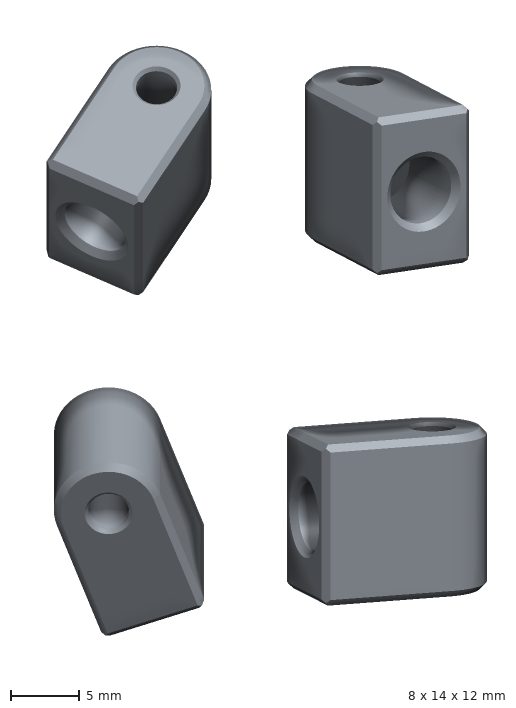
import cadquery as cq

length = 14.0
width = 8.0
height = 12.0
edge_chamfer = 0.5

cross_hole_diameter = 3.0
cross_hole_chamfer = 0.25

socket_diameter = 5.04
socket_depth = 7.0
socket_chamfer = 0.5

end_radius = width / 2
front_y = end_radius - length


def make_body():
    """Block with one rounded end and every outer edge chamfered."""
    block = (
        cq.Workplane("XY")
        .moveTo(-end_radius, front_y)
        .lineTo(end_radius, front_y)
        .lineTo(end_radius, 0)
        .threePointArc((0, end_radius), (-end_radius, 0))
        .close()
        .extrude(height / 2, both=True)
    )
    outline_chamfered = block.faces("|Z").edges("not(<Y)").chamfer(edge_chamfer)
    front_sides_chamfered = block.edges("|Z and <Y").chamfer(edge_chamfer)
    front_ends_chamfered = block.edges("|X and <Y").chamfer(edge_chamfer)
    return outline_chamfered.intersect(front_sides_chamfered).intersect(front_ends_chamfered)


def make_hole_cutter(diameter, depth, chamfer):
    """Profile of a hole revolved about Z, entering at Z = 0 and going down."""
    radius = diameter / 2
    return (
        cq.Workplane("XZ")
        .polyline([
            (0, 0),
            (radius + chamfer, 0),
            (radius, -chamfer),
            (radius, -depth),
            (0, -depth),
        ])
        .close()
        .revolve(360, (0, 0), (0, 1))
    )


upper_half = make_hole_cutter(cross_hole_diameter, height / 2, cross_hole_chamfer)
upper_half = upper_half.translate((0, 0, height / 2))
lower_half = upper_half.mirror("XY")

socket = make_hole_cutter(socket_diameter, socket_depth, socket_chamfer)
socket = socket.rotate((0, 0, 0), (1, 0, 0), 90).translate((0, front_y, 0))

result = make_body().cut(upper_half).cut(lower_half).cut(socket)